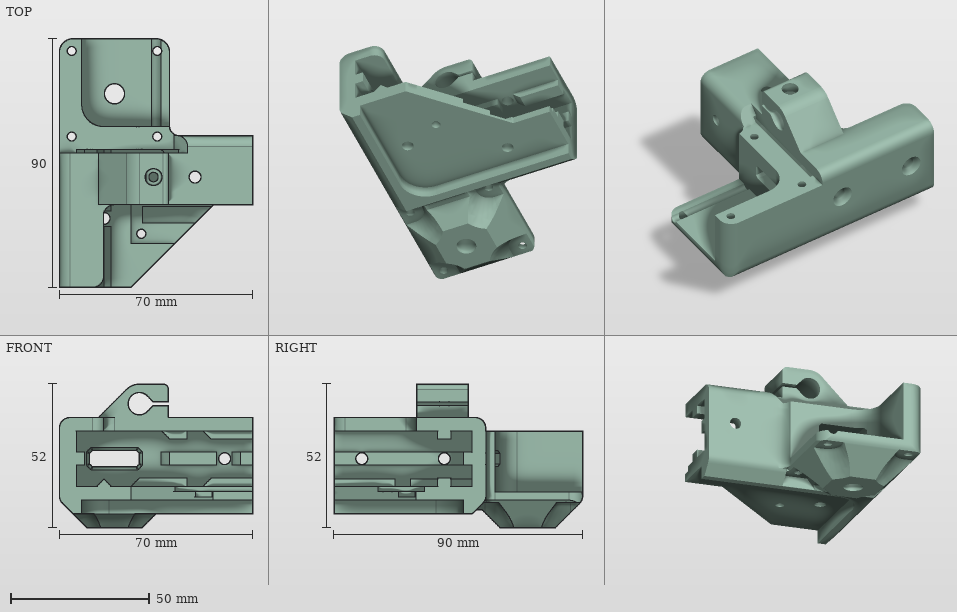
import cadquery as cq
import math

length_x = 70.0
length_y = 90.0
height = 52.0

rim_bottom = 5.0
floor_bottom = 10.0
floor_top = 15.0
roof_bottom = 35.0
roof_top = 40.0
channel_mid_z = (floor_top + roof_bottom) / 2

channel_width = 20.0
left_wall = 6.2
arm_front = 29.9
rear_wall = 5.0
channel_back = arm_front + channel_width
arm_back = channel_back + rear_wall
y_arm_mid_x = left_wall + channel_width / 2
x_arm_mid_y = arm_front + channel_width / 2
roof_back = 48.6
y_arm_end_x = 26.0
lip_edge_x = 16.0
rim_left_width = 8.0
rim_back_width = 3.0
rim_corner_radius = 10.0
edge_radius = 4.0
edge_chamfer = floor_bottom

screw_diameter = 4.2
tongue_width = 4.8
tongue_height = 3.0

motor_size = 40.0
motor_mid_x = motor_size / 2
motor_mid_y = length_y - motor_size / 2
motor_front = length_y - motor_size
motor_floor = 13.0
motor_wall = 8.1
motor_corner_radius = 5.0
motor_pocket_radius = 8.0
motor_screw_pitch = 31.0
motor_screw_diameter = 3.15
shaft_diameter = 7.2
foot_size = 20.0


def box(x0, x1, y0, y1, z0, z1):
    return cq.Workplane("XY").box(x1 - x0, y1 - y0, z1 - z0, centered=False).translate((x0, y0, z0))


def slab(points, z0, z1):
    return cq.Workplane("XY").workplane(offset=z0).polyline(points).close().extrude(z1 - z0)


def prism_along_y(points, y0, y1):
    return cq.Workplane("XZ", origin=(0, y0, 0)).polyline(points).close().extrude(y0 - y1)


def prism_along_x(points, x0, x1):
    return cq.Workplane("YZ", origin=(x0, 0, 0)).polyline(points).close().extrude(x1 - x0)


def bore(x, y, z0, z1, diameter):
    return cq.Workplane("XY", origin=(x, y, z0)).circle(diameter / 2).extrude(z1 - z0)


def corner_web(x, y, y_sign, radius, z0, z1):
    """Concave fillet filling the inside corner at (x, y), on its +X side and its y_sign * Y side."""
    square = box(x, x + radius, min(y, y + y_sign * radius), max(y, y + y_sign * radius), z0, z1)
    return square.cut(bore(x + radius, y + y_sign * radius, z0, z1, 2 * radius))


def outer_edges_profile(far):
    """Points (u, z) with u measured inwards from the outer face, before the edges are rounded."""
    return [(0, roof_top), (0, edge_chamfer), (edge_chamfer, 0), (far, 0), (far, roof_top)]


def left_envelope():
    solid = prism_along_y(outer_edges_profile(length_x), 0, length_y)
    top = cq.selectors.NearestToPointSelector((0, length_y / 2, roof_top))
    side = cq.selectors.NearestToPointSelector((0, length_y / 2, edge_chamfer))
    return solid.edges(top).fillet(edge_radius).edges(side).fillet(edge_radius)


def rear_envelope(rear_y):
    points = [(rear_y - u, z) for u, z in outer_edges_profile(rear_y)]
    solid = prism_along_x(points, 0, length_x)
    top = cq.selectors.NearestToPointSelector((length_x / 2, rear_y, roof_top))
    side = cq.selectors.NearestToPointSelector((length_x / 2, rear_y, edge_chamfer))
    return solid.edges(top).fillet(edge_radius).edges(side).fillet(edge_radius)


gusset_setback = 0.2
recess_front = 15.8
recess_back = 32.7
recess_step = 2.0
pocket_left = 30.1
pocket_front = 23.3
pocket_back = 29.25
gusset_hole_x = 29.7
gusset_hole_y = 19.35
gusset_hole_diameter = 3.2


def channel_floor():
    run = arm_front - gusset_setback
    solid = slab(
        [
            (0, 0),
            (y_arm_end_x, 0),
            (y_arm_end_x + run, run),
            (length_x, run),
            (length_x, arm_back),
            (0, arm_back),
        ],
        floor_bottom,
        floor_top,
    )
    recess = box(y_arm_end_x, length_x, recess_front, recess_back, floor_top - recess_step, floor_top)
    pocket_right = y_arm_end_x + pocket_back
    pocket = box(
        pocket_left, pocket_right, pocket_front, pocket_back, floor_top - 2 * recess_step, floor_top
    )
    hole = bore(gusset_hole_x, gusset_hole_y, 0, floor_top, gusset_hole_diameter)
    return solid.cut(recess).cut(pocket).cut(hole)


def rim():
    left = box(0, rim_left_width, 0, arm_back, rim_bottom, floor_bottom)
    rim_front = channel_back - rim_back_width
    back = box(0, length_x, rim_front, arm_back, rim_bottom, floor_bottom)
    corner = corner_web(rim_left_width, rim_front, -1, rim_corner_radius, rim_bottom, floor_bottom)
    return left.union(back).union(corner)


def walls():
    left = box(0, left_wall, 0, arm_back, floor_bottom, roof_bottom)
    back = box(0, length_x, channel_back, arm_back, floor_bottom, roof_bottom)
    return left.union(back)


ramp_start_x = 41.5
roof_notch_end_x = 43.2


def roof():
    lip = box(0, lip_edge_x, 0, roof_back, roof_bottom, roof_top)
    lip = lip.edges("|Z and >X and <Y").fillet(edge_radius)
    plate = box(0, length_x, arm_front, roof_back, roof_bottom, roof_top)
    corner = corner_web(lip_edge_x, arm_front, -1, edge_radius, roof_bottom, roof_top)
    rise = roof_top - roof_bottom
    rear = prism_along_y(
        [
            (ramp_start_x, roof_bottom),
            (length_x, roof_bottom),
            (length_x, roof_top),
            (ramp_start_x + rise, roof_top),
        ],
        roof_back,
        arm_back,
    )
    notch = box(left_wall, roof_notch_end_x, roof_back, channel_back, roof_bottom, roof_top)
    return lip.union(plate).union(corner).union(rear.cut(notch))


first_tongue_end = 46.2
second_tongue_start = 52.0
top_tongue_start = 37.1
back_tongue_start = 36.9
back_tongue_end = 57.0
back_second_start = 62.55
ridge_height = 2.6
ridge_gap_front = 22.0
ridge_gap_back = 27.6


def ramped_tongue(start, end):
    """Tongue rising from z = 0 along X, ramped at its start, centred on Y = 0."""
    points = [(start, 0), (end, 0), (end, tongue_height), (start + tongue_height, tongue_height)]
    return prism_along_y(points, -tongue_width / 2, tongue_width / 2)


def tongue_set(first_start, first_end, second_start):
    first = ramped_tongue(first_start, first_end)
    return first.union(ramped_tongue(second_start, length_x))


def tongues():
    floor = tongue_set(y_arm_end_x, first_tongue_end, second_tongue_start)
    floor = floor.translate((0, x_arm_mid_y, floor_top))
    top = tongue_set(top_tongue_start, first_tongue_end, second_tongue_start)
    top = top.rotate((0, 0, 0), (1, 0, 0), 180).translate((0, x_arm_mid_y, roof_bottom))
    back = tongue_set(back_tongue_start, back_tongue_end, back_second_start)
    back = back.rotate((0, 0, 0), (1, 0, 0), 90).translate((0, channel_back, channel_mid_z))
    left = box(
        left_wall,
        left_wall + tongue_height,
        0,
        channel_back,
        channel_mid_z - tongue_width / 2,
        channel_mid_z + tongue_width / 2,
    )
    ridge = prism_along_y(
        [
            (y_arm_mid_x - ridge_height, floor_top),
            (y_arm_mid_x + ridge_height, floor_top),
            (y_arm_mid_x, floor_top + ridge_height),
        ],
        0,
        channel_back,
    )
    gap = box(
        left_wall, y_arm_end_x, ridge_gap_front, ridge_gap_back, floor_top, floor_top + ridge_height
    )
    return floor.union(top).union(back).union(left).union(ridge.cut(gap))


arm_blend_radius = 3.3
bridge_bottom = 6.5
groove_x = 35.1
groove_width = 3.5
groove_depth = 1.35
scoop_radius = 11.9
scoop_taper = 37.0
scoop_ceiling = 9.2


def foot_profile(middle):
    """Trapezium widening at 45 degrees from the foot base up to the full mount."""
    base = foot_size / 2
    wide = base + floor_bottom
    return [
        (middle - base, 0),
        (middle + base, 0),
        (middle + wide, floor_bottom),
        (middle - wide, floor_bottom),
    ]


def motor_mount():
    block = box(0, motor_size, motor_front, length_y, floor_bottom, roof_bottom)
    foot = prism_along_y(foot_profile(motor_mid_x), 0, length_y)
    foot = foot.intersect(prism_along_x(foot_profile(motor_mid_y), 0, motor_size))
    bridge = box(0, motor_size, channel_back, arm_back, bridge_bottom, floor_bottom)
    block = block.union(foot).union(bridge)

    shape = box(0, motor_size, 0, length_y, 0, roof_bottom)
    shape = shape.edges("|Z and >Y").fillet(motor_corner_radius)
    block = block.intersect(shape).intersect(rear_envelope(length_y))

    pocket = box(motor_wall, length_x, motor_front + motor_wall, 2 * length_y, motor_floor, roof_top)
    pocket = pocket.edges("|Z and <X and <Y").fillet(motor_pocket_radius)
    half = groove_width / 2
    groove = (
        cq.Workplane("XZ", origin=(groove_x, length_y, motor_floor))
        .moveTo(-half, 0)
        .threePointArc((0, -groove_depth), (half, 0))
        .close()
        .extrude(motor_size - motor_wall)
    )
    return block.cut(pocket).cut(groove)


def motor_arm_blend():
    return corner_web(motor_size, arm_back, 1, arm_blend_radius, floor_bottom, roof_bottom)


def motor_screw_scoops():
    """Conical clearance below each motor screw, open towards the nearest corner of the mount."""
    r = scoop_radius
    half_pitch = motor_screw_pitch / 2
    far = motor_size
    scoop = (
        cq.Workplane("XY")
        .moveTo(-r, far)
        .lineTo(-r, 0)
        .threePointArc((-r * math.sqrt(0.5), -r * math.sqrt(0.5)), (0, -r))
        .lineTo(far, -r)
        .lineTo(far, far)
        .close()
        .extrude(scoop_ceiling, taper=scoop_taper)
        .translate((half_pitch, half_pitch, 0))
    )
    scoops = scoop
    for turn in range(1, 4):
        scoops = scoops.union(scoop.rotate((0, 0, 0), (0, 0, 1), 90 * turn))
    scoops = scoops.translate((motor_mid_x, motor_mid_y, 0))
    return scoops.intersect(box(0, motor_size, motor_front, length_y, 0, scoop_ceiling))


def motor_holes():
    pitch = motor_screw_pitch
    screws = (
        cq.Workplane("XY", origin=(motor_mid_x, motor_mid_y, 0))
        .rect(pitch, pitch, forConstruction=True)
        .vertices()
        .circle(motor_screw_diameter / 2)
        .extrude(roof_bottom)
    )
    return screws.union(bore(motor_mid_x, motor_mid_y, 0, roof_bottom, shaft_diameter))


window_length = 17.9
window_height = 5.85
window_corner = 1.0
window_chamfer = 1.2


def window():
    opening = (
        cq.Workplane("XZ", origin=(motor_mid_x, channel_back, channel_mid_z))
        .rect(window_length, window_height)
        .extrude(-2 * motor_wall)
        .edges("|Y")
        .chamfer(window_corner)
    )
    flare = (
        cq.Workplane("XZ", origin=(motor_mid_x, channel_back + window_chamfer, channel_mid_z))
        .sketch()
        .rect(window_length, window_height)
        .vertices()
        .chamfer(window_corner)
        .finalize()
        .extrude(window_chamfer, taper=-45)
    )
    return opening.union(flare)


clamp_start_x = 14.2
clamp_right = 39.5
clamp_corner_radius = 2.0
clamp_ramp_radius = 6.5
rod_x = 29.0
rod_z = 44.9
rod_diameter = 8.0
slit_height = 1.35
clamp_screw_x = 34.1
clamp_screw_diameter = 3.4
clamp_head_diameter = 6.1
clamp_head_depth = 4.0
clamp_screw_depth = 13.5


def clamp():
    rise = height - roof_top
    top_left = clamp_start_x + rise
    body = prism_along_y(
        [(clamp_start_x, roof_top), (top_left, height), (clamp_right, height), (clamp_right, roof_top)],
        arm_front,
        roof_back,
    )
    mid_y = (arm_front + roof_back) / 2
    ramp_edge = cq.selectors.NearestToPointSelector((top_left, mid_y, height))
    right_edge = cq.selectors.NearestToPointSelector((clamp_right, mid_y, height))
    return body.edges(ramp_edge).fillet(clamp_ramp_radius).edges(right_edge).fillet(clamp_corner_radius)


def clamp_openings():
    rod = (
        cq.Workplane("XZ", origin=(rod_x, arm_front, rod_z))
        .circle(rod_diameter / 2)
        .extrude(arm_front - roof_back)
    )
    reach = rod_diameter / 2 * math.sqrt(0.5)
    half = slit_height / 2
    neck = rod_x + 2 * reach - half
    slit = prism_along_y(
        [
            (rod_x, rod_z),
            (rod_x + reach, rod_z + reach),
            (neck, rod_z + half),
            (clamp_right, rod_z + half),
            (clamp_right, rod_z - half),
            (neck, rod_z - half),
            (rod_x + reach, rod_z - reach),
        ],
        arm_front,
        roof_back,
    )
    screw = bore(clamp_screw_x, x_arm_mid_y, height - clamp_screw_depth, height, clamp_screw_diameter)
    head = bore(clamp_screw_x, x_arm_mid_y, height - clamp_head_depth, height, clamp_head_diameter)
    return rod.union(slit).union(screw).union(head)


side_screw_y = [10.0, x_arm_mid_y]
side_head_diameter = 8.1
arm_screw_x = 49.1
back_screw_x = 59.85
floor_screw_y = 24.9


def rail_screw_holes():
    holes = bore(arm_screw_x, x_arm_mid_y, 0, roof_top, screw_diameter)
    holes = holes.union(bore(y_arm_mid_x, floor_screw_y, 0, floor_top, screw_diameter))
    back = (
        cq.Workplane("XZ", origin=(back_screw_x, arm_back, channel_mid_z))
        .circle(screw_diameter / 2)
        .extrude(rear_wall)
    )
    holes = holes.union(back)
    sink = (side_head_diameter - screw_diameter) / 2
    for y in side_screw_y:
        side = cq.Workplane("YZ", origin=(0, y, channel_mid_z))
        holes = holes.union(side.circle(screw_diameter / 2).extrude(left_wall + tongue_height))
        cone = cq.Solid.makeCone(
            side_head_diameter / 2,
            screw_diameter / 2,
            sink,
            cq.Vector(0, y, channel_mid_z),
            cq.Vector(1, 0, 0),
        )
        holes = holes.union(cq.Workplane(obj=cone))
    return holes


frame = channel_floor().union(rim()).union(walls()).union(roof()).intersect(rear_envelope(arm_back))
body = frame.union(motor_mount()).union(motor_arm_blend()).intersect(left_envelope())
body = body.union(tongues()).cut(motor_screw_scoops()).cut(motor_holes())
body = body.cut(window()).cut(rail_screw_holes())
result = body.union(clamp()).cut(clamp_openings())